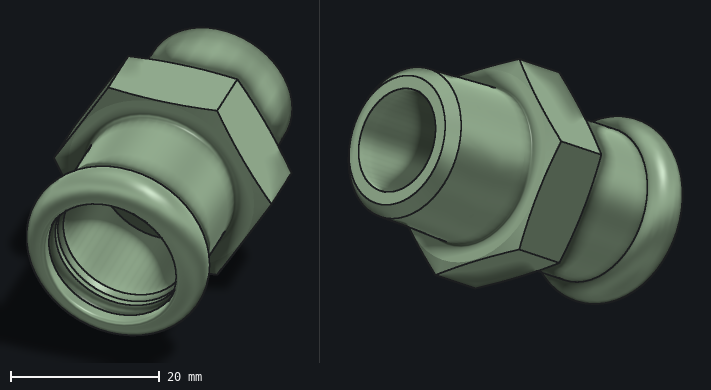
import cadquery as cq
import math

length = 44.0

hex_flats = 27.0
hex_start = 20.0
hex_end = 29.05
hex_face_diameter = 26.6
hex_chamfer_angle = 15.0

neck_radius = 21.7 / 2
neck_fillet = 0.4
taper_start = 30.5
taper_end = 42.5
taper_end_radius = 10.45
tip_radius = 8.95

tube_radius = 10.7
tube_fillet = 0.8
bead_radius = 12.9
bead_middle = 3.35
bead_end = 6.55

bore_radius = 14.3 / 2
socket_radius = 17.85 / 2
socket_depth = 20.0
socket_entry = 6.35
lip_radius = 9.35
lip_round = 0.65
mouth_radius = lip_radius + lip_round
lip_end = 5.35
groove_middle = 3.15
groove_half_width = 1.25
groove_floor_radius = 21.3 / 2

ROUND_OFFSET = 1 - math.sqrt(0.5)


def revolve_about_y(profile):
    """Revolve a closed (radius, Y) outline a full turn about the Y axis."""
    return profile.close().revolve(360, (0, 0, 0), (0, 1, 0))


def make_body():
    tube_fillet_middle = (
        tube_radius + tube_fillet * ROUND_OFFSET,
        hex_start - tube_fillet * ROUND_OFFSET,
    )
    neck_fillet_middle = (
        neck_radius + neck_fillet * ROUND_OFFSET,
        hex_end + neck_fillet * ROUND_OFFSET,
    )
    return revolve_about_y(
        cq.Workplane("XY")
        .moveTo(0, 0)
        .lineTo(mouth_radius, 0)
        .threePointArc((bead_radius, bead_middle), (tube_radius, bead_end))
        .lineTo(tube_radius, hex_start - tube_fillet)
        .threePointArc(tube_fillet_middle, (tube_radius + tube_fillet, hex_start))
        .lineTo(neck_radius + neck_fillet, hex_end)
        .threePointArc(neck_fillet_middle, (neck_radius, hex_end + neck_fillet))
        .lineTo(neck_radius, taper_start)
        .lineTo(taper_end_radius, taper_end)
        .lineTo(tip_radius, length)
        .lineTo(0, length)
    )


def make_hexagon():
    """Hexagon with corners on X, its corners trimmed by a cone at each face."""
    corner_radius = hex_flats / math.sqrt(3)
    face_radius = hex_face_diameter / 2
    chamfer_height = (corner_radius - face_radius) * math.tan(math.radians(hex_chamfer_angle))
    prism = (
        cq.Workplane("XZ", origin=(0, hex_start, 0))
        .polygon(6, 2 * corner_radius)
        .extrude(hex_start - hex_end)
    )
    envelope = revolve_about_y(
        cq.Workplane("XY")
        .moveTo(0, hex_start)
        .lineTo(face_radius, hex_start)
        .lineTo(corner_radius, hex_start + chamfer_height)
        .lineTo(corner_radius, hex_end - chamfer_height)
        .lineTo(face_radius, hex_end)
        .lineTo(0, hex_end)
    )
    return prism.intersect(envelope)


def make_cavity():
    """Through bore, stepped socket, seal groove and rounded mouth."""
    lip_middle = (
        lip_radius + lip_round * ROUND_OFFSET,
        lip_round * ROUND_OFFSET,
    )
    return revolve_about_y(
        cq.Workplane("XY")
        .moveTo(0, 0)
        .lineTo(mouth_radius, 0)
        .threePointArc(lip_middle, (lip_radius, lip_round))
        .lineTo(lip_radius, groove_middle - groove_half_width)
        .threePointArc(
            (groove_floor_radius, groove_middle),
            (lip_radius, groove_middle + groove_half_width),
        )
        .lineTo(lip_radius, lip_end)
        .lineTo(socket_radius, socket_entry)
        .lineTo(socket_radius, socket_depth)
        .lineTo(bore_radius, socket_depth)
        .lineTo(bore_radius, length)
        .lineTo(0, length)
    )


result = make_body().union(make_hexagon()).cut(make_cavity())